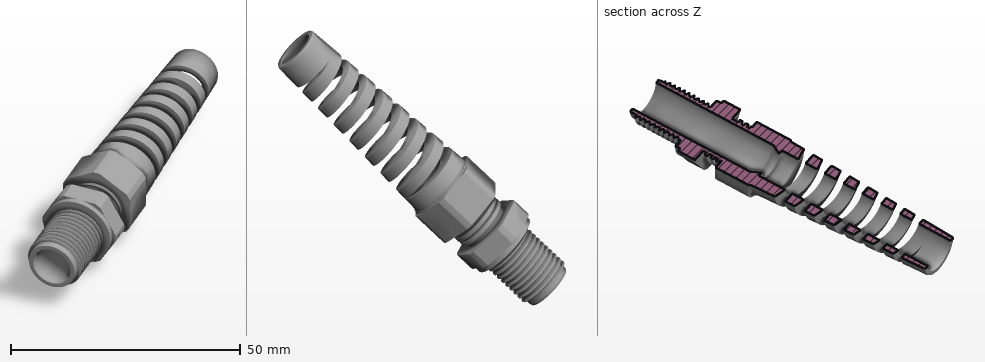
import cadquery as cq
import math


length = 78.4
entry_thread_start = 1.4
collar_start = 13.7
body_hex_start = 15.0
body_hex_end = 19.5
neck_thread_start = 20.4
nut_start = 24.4
nut_end = 33.25
sleeve_start = 33.55
slot_start = 37.4
slot_end = 72.3
tip_chamfer_length = 0.5

across_flats = 15.8
across_corners = 17.5
half_facet_angle = 30
collar_radius = across_flats / 2
core_radius = 5.6
entry_radius = 5.4
entry_chamfer_length = 0.55

sleeve_base_radius = 7.6
sleeve_tip_radius = 5.5
tip_face_radius = 5.3
sleeve_bore_radius = 4.3

bore_entry_radius = 4.5
bore_throat_radius = 3.2
bore_taper_length = 2.35

thread_crest_radius = 6.3
entry_thread_turns = 9.7
entry_pitch = (collar_start - entry_thread_start) / entry_thread_turns
entry_helix_start = 0.7
entry_ridge_root_width = 1.1
entry_ridge_crest_width = 0.15
neck_pitch = 1.5
neck_helix_start = neck_thread_start
neck_thread_start_angle = -90
neck_ridge_width = 0.9
slot_pitch = 5.0
slot_helix_start = 36.15
slot_upper_offset = 1.2
slot_outer_lower_offset = 1.5
slot_inner_lower_offset = 0.6

overlap = 0.2


def frustum(z_low, z_high, radius_low, radius_high):
    """Solid of revolution with a straight side."""
    outline = [(0, z_low), (radius_low, z_low), (radius_high, z_high), (0, z_high)]
    return cq.Workplane("XZ").polyline(outline).close().revolve(360, (0, 0), (0, 1))


def cylinder(z_low, z_high, radius):
    """Round bar between two heights."""
    return cq.Workplane("XY").workplane(offset=z_low).circle(radius).extrude(z_high - z_low)


def rounded_hexagon(z_low, z_high, corner_angle):
    """Hexagonal prism whose corners are turned down to a cylinder."""
    height = z_high - z_low
    sharp_corners = across_flats / math.cos(math.radians(half_facet_angle))
    prism = cq.Workplane("XY").workplane(offset=z_low)
    prism = prism.polygon(6, sharp_corners).extrude(height)
    prism = prism.rotate((0, 0, 0), (0, 0, 1), corner_angle)
    return prism.intersect(cylinder(z_low, z_high, across_corners / 2))


def spiral(z_low, z_high, pitch, start, section):
    """Right-handed helical bar that starts at +X, cut flat at both ends.

    The section lists radius and offset along the axis, measured from the start height.
    """
    helix_height = z_high + pitch - start
    path = cq.Wire.makeHelix(pitch, helix_height, core_radius).translate(cq.Vector(0, 0, start))
    placed_section = [(radius, start + offset) for radius, offset in section]
    bar = cq.Workplane("XZ").polyline(placed_section).close().sweep(cq.Workplane(path), isFrenet=True)
    return bar.intersect(cylinder(z_low, z_high, across_corners))


def thread(z_low, z_high, pitch, start, root_width, crest_width):
    """External thread ridge rooted in the core."""
    root_radius = core_radius - overlap
    section = [
        (root_radius, -root_width / 2),
        (thread_crest_radius, -crest_width / 2),
        (thread_crest_radius, crest_width / 2),
        (root_radius, root_width / 2),
    ]
    return spiral(z_low, z_high, pitch, start, section)


def gland_body():
    """Threaded entry, collar, hexagon and neck."""
    body = frustum(0, entry_chamfer_length, entry_radius, core_radius)
    body = body.union(cylinder(entry_chamfer_length, nut_start, core_radius))
    body = body.union(cylinder(collar_start, body_hex_start, collar_radius))
    body = body.union(rounded_hexagon(body_hex_start, body_hex_end, 0))
    entry_thread = thread(
        entry_thread_start, collar_start, entry_pitch, entry_helix_start,
        entry_ridge_root_width, entry_ridge_crest_width,
    )
    neck_thread = thread(
        neck_thread_start, nut_start, neck_pitch, neck_helix_start,
        neck_ridge_width, neck_ridge_width,
    )
    neck_thread = neck_thread.rotate((0, 0, 0), (0, 0, 1), neck_thread_start_angle)
    return body.union(entry_thread).union(neck_thread)


def cap_nut():
    """Hexagonal nut, its corners turned off those of the body, with a thin round shoulder."""
    nut = rounded_hexagon(nut_start, nut_end, half_facet_angle)
    return nut.union(cylinder(nut_end, sleeve_start, collar_radius))


def cable_passage():
    """Straight bore that tapers to a throat where the sleeve begins."""
    taper_start = sleeve_start - bore_taper_length
    passage = cylinder(0, taper_start, bore_entry_radius)
    return passage.union(frustum(taper_start, sleeve_start, bore_entry_radius, bore_throat_radius))


def flexible_sleeve():
    """Tapered tube opened into a spring by a spiral slot."""
    tip_start = length - tip_chamfer_length
    sleeve = frustum(sleeve_start, tip_start, sleeve_base_radius, sleeve_tip_radius)
    sleeve = sleeve.union(frustum(tip_start, length, sleeve_tip_radius, tip_face_radius))
    sleeve = sleeve.cut(cylinder(sleeve_start, length, sleeve_bore_radius))
    slot_inner_radius = sleeve_bore_radius - overlap
    slot_outer_radius = sleeve_base_radius + overlap
    slot_section = [
        (slot_inner_radius, -slot_inner_lower_offset),
        (slot_outer_radius, -slot_outer_lower_offset),
        (slot_outer_radius, slot_upper_offset),
        (slot_inner_radius, slot_upper_offset),
    ]
    slot = spiral(slot_start, slot_end, slot_pitch, slot_helix_start, slot_section)
    return sleeve.cut(slot)


gland = gland_body().union(cap_nut())
gland = gland.cut(cable_passage()).union(flexible_sleeve())

result = gland.rotate((0, 0, 0), (1, 0, 0), -90)